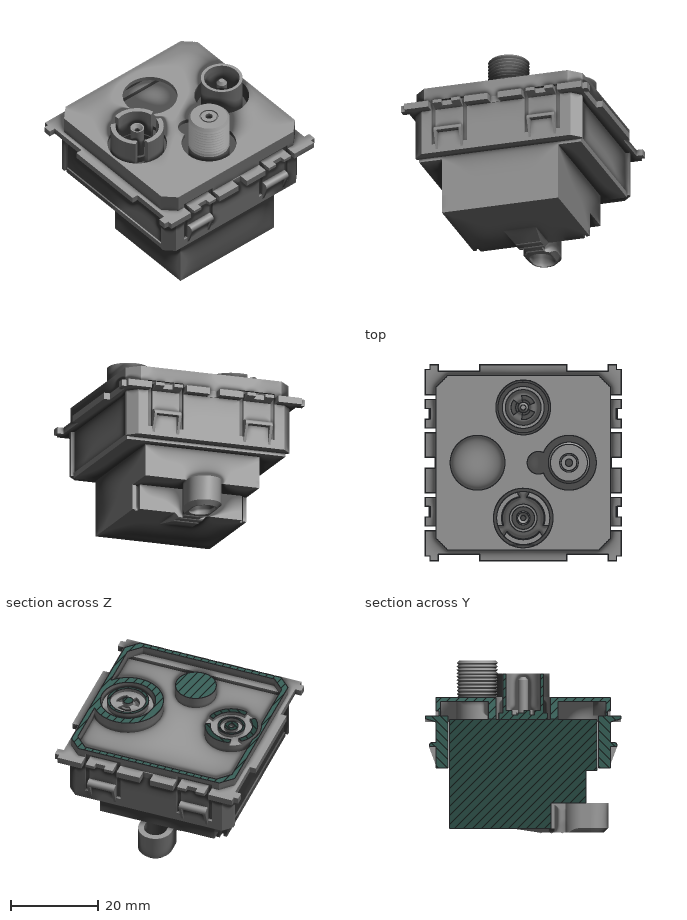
import cadquery as cq
import math

FLANGE_TOP = -4.2
FLANGE_BOTTOM = -5.7
FLOOR_TOP = -5.0
PANEL_BOTTOM = -15.6
FRAME_BOTTOM = -16.3
LIP_BOTTOM = -16.9
NOTCH_TOP = -24.35
BLOCK_BOTTOM = -30.2
CLAMP_BOTTOM = -31.1
COAX_TOP = 5.4
F_TOP = 8.34

COVER_WIDTH = 40.2
COVER_CHAMFER = 2.8
COVER_ROOF = 1.0
COVER_WALL = 1.2
CAVITY_WIDTH = COVER_WIDTH - 2 * COVER_WALL
PORT_RADIUS = 6.3
SOCKET_PORT_RADIUS = 6.85
SKIRT_RADIUS = 8.2
KEY_RADIUS = 2.6
KEY_X = 3.5
F_X = 10.5
BLANK_X = -10.5
PLUG_Y = 12.7
SOCKET_Y = -12.7

FLANGE_WIDTH = 45.05
FLANGE_END_STEP = 1.1
FLANGE_EDGE_Y = 21.05
CORNER_PIP_INNER_X = 19.5
CENTRE_TAB_HALF = 10.0
FRAME_CHAMFER = 2.1
BAY_HALF = 17.2
MIDDLE_GAP_HALF = 1.25
MIDDLE_GAP_X = 20.3
LATCH_Y = 11.25
LATCH_WIDTH = 6.6
SLIT_OUTER_WIDTH = 8.65
SLIT_DEPTH = 0.7
SLIT_TOP = -3.2
SLIT_BOTTOM = -14.2
TAB_TIP_BOTTOM = -4.95
TAB_NOTCH_WIDTH = 2.4
TAB_NOTCH_DEPTH = 1.2
LATCH_SHARP_REACH = 1.95
LATCH_NOSE_TOP = -10.3
LATCH_NOSE_BOTTOM = -11.4
LATCH_BOTTOM = -15.5
LATCH_RIB = 0.6
LATCH_NOSE_RADIUS = 0.9

HOUSING_HALF_X = 17.0
PANEL_HALF_Y = 19.2
LIP_HALF_Y = 19.55
BLOCK_LEFT = -14.5
BLOCK_HALF_Y = 14.05
NOTCH_WALL_X = -6.4
CORE_WALL_X = -7.2
CORE_HALF_Y = 12.6
CORE_GROOVE = 0.6
CORE_GROOVE_DEPTH = 0.8

CLAMP_RADIUS = 4.0
CLAMP_HOLE_RADIUS = 2.65
CLAMP_OUTER_X = -15.6
CLAMP_INNER_X = -13.2
CLAMP_CHAMFER = 1.0
STEM_HALF_Y = 2.1
WEDGE_FLAT_X = -3.5
WEDGE_TIP_X = 2.5
RIB_RADIUS = 0.45
RIB_DROP = 0.2
STEM_RIB_X = -9.0
TONGUE_RIB_XS = (-6.55, -4.1)

PLUG_BASE_RADIUS = 5.8
PLUG_BASE_TOP = -3.5
PLUG_RADIUS = 4.82
PLUG_BORE = 4.1
PLUG_FLOOR = -3.0
PIN_RADIUS = 1.2
PIN_TIP_RADIUS = 0.6
PIN_TIP_LENGTH = 0.7
PIN_TOP = 4.6
WINDOW_COUNT = 3
WINDOW_FIRST_ANGLE = 60
WINDOW_OUTER = 2.8
WINDOW_HALF_ANGLE = 38
WINDOW_DEPTH = 1.0
HUB_RADIUS = 1.75
HUB_DEPTH = 0.5

SOCKET_RADIUS = 6.1
SOCKET_BORE = 5.0
SOCKET_LOWER_BORE = 4.8
SOCKET_STEP = -1.5
SOCKET_FLOOR = -3.0
SLOT_COUNT = 3
SLOT_FIRST_ANGLE = 90
SLOT_INNER_HALF = 0.8
SLOT_OUTER_HALF = 1.5
COLLAR_RADIUS = 3.18
COLLAR_BORE = 2.6
COLLAR_TOP = -1.5
CONTACT_RADIUS = 1.6
CONTACT_BORE = 0.6
CONTACT_LEAD_IN = 0.7
CONTACT_TOP = 4.9

THREAD_RADIUS = 4.75
THREAD_ROOT = 4.3
THREAD_PITCH = 0.794
THREAD_TURNS = 10
TIP_CHAMFER = 0.5
GROOVE_OUTER = 2.15
GROOVE_INNER = 1.8
GROOVE_DEPTH = 0.4
F_BORE = 0.85
F_BORE_DEPTH = 6.0


def box(x0, x1, y0, y1, z0, z1):
    return cq.Workplane("XY").box(x1 - x0, y1 - y0, z1 - z0, centered=False).translate((x0, y0, z0))


def centred_box(half_x, half_y, z0, z1):
    return box(-half_x, half_x, -half_y, half_y, z0, z1)


def cylinder(radius, z0, z1, x=0.0, y=0.0):
    return cq.Workplane("XY", origin=(x, y, z0)).circle(radius).extrude(z1 - z0)


def wedge(half_angle, reach, z0, z1):
    """Triangular prism that opens from the Z axis along +X."""
    spread = reach * math.tan(math.radians(half_angle))
    outline = [(0, 0), (reach, -spread), (reach, spread)]
    return cq.Workplane("XY", origin=(0, 0, z0)).polyline(outline).close().extrude(z1 - z0)


def around_axis(shape, count, first_angle):
    """Evenly spaced copies around the Z axis."""
    for i in range(count):
        yield shape.rotate((0, 0, 0), (0, 0, 1), first_angle + i * 360 / count)


def on_latch_positions(shape):
    """Place a feature modelled at y = 0 on the -X side at the four latch positions."""
    for turn in (0, 180):
        for y in (-LATCH_Y, LATCH_Y):
            yield shape.translate((0, y, 0)).rotate((0, 0, 0), (0, 0, 1), turn)


def slit_pocket(z0, z1, y0, y1):
    """Shallow pocket in the -X wall that also clears the flange."""
    wall_x = -COVER_WIDTH / 2
    return box(-FLANGE_WIDTH / 2, wall_x + SLIT_DEPTH, y0, y1, z0, z1)


def make_cover():
    half = COVER_WIDTH / 2
    cover = centred_box(half, half, FLANGE_TOP, 0).edges("|Z").chamfer(COVER_CHAMFER)
    cavity = centred_box(CAVITY_WIDTH / 2, CAVITY_WIDTH / 2, FLANGE_TOP, -COVER_ROOF)
    cavity = cavity.edges("|Z").chamfer(COVER_CHAMFER)
    cover = cover.cut(cavity)
    skirt = cylinder(SKIRT_RADIUS, FLOOR_TOP, -COVER_ROOF, 0, PLUG_Y)
    skirt = skirt.intersect(centred_box(CAVITY_WIDTH / 2, CAVITY_WIDTH / 2, FLOOR_TOP, 0))
    cover = cover.union(skirt)
    ports = [
        (PORT_RADIUS, 0, PLUG_Y),
        (PORT_RADIUS, BLANK_X, 0),
        (PORT_RADIUS, F_X, 0),
        (KEY_RADIUS, KEY_X, 0),
        (SOCKET_PORT_RADIUS, 0, SOCKET_Y),
    ]
    for radius, x, y in ports:
        cover = cover.cut(cylinder(radius, FLOOR_TOP, 0, x, y))
    arch = slit_pocket(FLANGE_TOP, SLIT_TOP, -SLIT_OUTER_WIDTH / 2, SLIT_OUTER_WIDTH / 2)
    for recess in on_latch_positions(arch):
        cover = cover.cut(recess)
    return cover


def make_flange():
    outer = FLANGE_WIDTH / 2
    shoulder = outer - FLANGE_END_STEP
    flange = centred_box(outer, shoulder, FLANGE_BOTTOM, FLANGE_TOP)
    for side in (-1, 1):
        for x0, x1 in ((-CORNER_PIP_INNER_X, -CENTRE_TAB_HALF), (CENTRE_TAB_HALF, CORNER_PIP_INNER_X)):
            y0, y1 = sorted((side * FLANGE_EDGE_Y, side * outer))
            flange = flange.cut(box(x0, x1, y0, y1, FLANGE_BOTTOM, FLANGE_TOP))
        for x0, x1 in (
            (-shoulder, -CORNER_PIP_INNER_X),
            (-CENTRE_TAB_HALF, CENTRE_TAB_HALF),
            (CORNER_PIP_INNER_X, shoulder),
        ):
            y0, y1 = sorted((side * shoulder, side * outer))
            flange = flange.union(box(x0, x1, y0, y1, FLANGE_BOTTOM, FLANGE_TOP))
        x0, x1 = sorted((side * MIDDLE_GAP_X, side * outer))
        flange = flange.cut(box(x0, x1, -MIDDLE_GAP_HALF, MIDDLE_GAP_HALF, FLANGE_BOTTOM, FLANGE_TOP))
    return flange


def make_latch():
    """Snap nose with two tapering side ribs."""
    wall = -COVER_WIDTH / 2
    sharp_tip = wall - LATCH_SHARP_REACH
    latch = (
        cq.Workplane("XZ")
        .polyline([(wall, LATCH_NOSE_TOP), (sharp_tip, LATCH_NOSE_TOP), (wall, LATCH_BOTTOM)])
        .close()
        .extrude(LATCH_WIDTH / 2, both=True)
    )
    latch = latch.edges("|Y and <X").fillet(LATCH_NOSE_RADIUS)
    rib_inner = LATCH_WIDTH / 2 - LATCH_RIB
    return latch.cut(box(sharp_tip, wall, -rib_inner, rib_inner, LATCH_BOTTOM, LATCH_NOSE_BOTTOM))


def make_tab_relief():
    """Sloped underside and end notch of the flange tab above a latch."""
    tip = -FLANGE_WIDTH / 2
    wall = -COVER_WIDTH / 2
    slope = (
        cq.Workplane("XZ")
        .polyline([(tip, FLANGE_BOTTOM), (tip, TAB_TIP_BOTTOM), (wall, FLANGE_BOTTOM)])
        .close()
        .extrude(LATCH_WIDTH / 2, both=True)
    )
    half = TAB_NOTCH_WIDTH / 2
    return slope.union(box(tip, tip + TAB_NOTCH_DEPTH, -half, half, FLANGE_BOTTOM, FLANGE_TOP))


def make_frame():
    half = COVER_WIDTH / 2
    frame = centred_box(half, half, FRAME_BOTTOM, FLANGE_TOP).edges("|Z").chamfer(FRAME_CHAMFER)
    frame = frame.union(make_flange())
    frame = frame.cut(centred_box(BAY_HALF, half, FRAME_BOTTOM, FLANGE_BOTTOM))
    frame = frame.cut(centred_box(BAY_HALF, CAVITY_WIDTH / 2, FLANGE_BOTTOM, FLANGE_TOP))
    inner = LATCH_WIDTH / 2
    outer = SLIT_OUTER_WIDTH / 2
    for y0, y1 in ((-outer, -inner), (inner, outer)):
        for slit in on_latch_positions(slit_pocket(SLIT_BOTTOM, FLANGE_TOP, y0, y1)):
            frame = frame.cut(slit)
    for relief in on_latch_positions(make_tab_relief()):
        frame = frame.cut(relief)
    for latch in on_latch_positions(make_latch()):
        frame = frame.union(latch)
    return frame


def make_housing():
    housing = centred_box(HOUSING_HALF_X, PANEL_HALF_Y, LIP_BOTTOM, FLANGE_BOTTOM)
    housing = housing.union(centred_box(HOUSING_HALF_X, CAVITY_WIDTH / 2, FLANGE_BOTTOM, FLOOR_TOP))
    housing = housing.union(centred_box(HOUSING_HALF_X, LIP_HALF_Y, LIP_BOTTOM, PANEL_BOTTOM))
    housing = housing.union(
        box(BLOCK_LEFT, HOUSING_HALF_X, -BLOCK_HALF_Y, BLOCK_HALF_Y, BLOCK_BOTTOM, LIP_BOTTOM)
    )
    housing = housing.cut(
        box(BLOCK_LEFT, NOTCH_WALL_X, -BLOCK_HALF_Y, BLOCK_HALF_Y, BLOCK_BOTTOM, NOTCH_TOP)
    )
    core = box(CORE_WALL_X, NOTCH_WALL_X, -CORE_HALF_Y, CORE_HALF_Y, BLOCK_BOTTOM, NOTCH_TOP)
    housing = housing.union(core)
    groove_back = NOTCH_WALL_X + CORE_GROOVE_DEPTH
    for y in (-CORE_HALF_Y - CORE_GROOVE, CORE_HALF_Y):
        housing = housing.cut(box(NOTCH_WALL_X, groove_back, y, y + CORE_GROOVE, BLOCK_BOTTOM, NOTCH_TOP))
    return housing


def make_clamp():
    length = CLAMP_INNER_X - CLAMP_OUTER_X
    middle = (CLAMP_INNER_X + CLAMP_OUTER_X) / 2
    base = cq.Workplane("XY", origin=(middle, 0, CLAMP_BOTTOM))
    height = NOTCH_TOP - CLAMP_BOTTOM
    bar = cylinder(CLAMP_RADIUS, CLAMP_BOTTOM, NOTCH_TOP, CLAMP_OUTER_X)
    straight = box(CLAMP_OUTER_X, WEDGE_TIP_X, -CLAMP_RADIUS, CLAMP_RADIUS, CLAMP_BOTTOM, NOTCH_TOP)
    bar = bar.union(straight)
    bar = bar.faces("<Z").edges("not >X").chamfer(CLAMP_CHAMFER)
    head = bar.intersect(base.slot2D(length + 2 * CLAMP_RADIUS, 2 * CLAMP_RADIUS).extrude(height))
    stem = box(middle, CORE_WALL_X, -STEM_HALF_Y, STEM_HALF_Y, CLAMP_BOTTOM, NOTCH_TOP)
    tongue = (
        cq.Workplane("XZ")
        .moveTo(CORE_WALL_X, BLOCK_BOTTOM)
        .lineTo(WEDGE_TIP_X, BLOCK_BOTTOM)
        .lineTo(WEDGE_FLAT_X, CLAMP_BOTTOM)
        .lineTo(CORE_WALL_X, CLAMP_BOTTOM)
        .close()
        .extrude(CLAMP_RADIUS, both=True)
        .intersect(bar)
    )
    clamp = head.union(stem).union(tongue)
    tongue_half_y = CLAMP_RADIUS - CLAMP_CHAMFER
    ribs = [(STEM_RIB_X, STEM_HALF_Y)] + [(x, tongue_half_y) for x in TONGUE_RIB_XS]
    for x, half_y in ribs:
        rib = cq.Workplane("XZ", origin=(x, 0, CLAMP_BOTTOM + RIB_RADIUS - RIB_DROP))
        rib = rib.circle(RIB_RADIUS).extrude(half_y, both=True)
        clamp = clamp.union(rib)
    hole = base.slot2D(length + 2 * CLAMP_HOLE_RADIUS, 2 * CLAMP_HOLE_RADIUS).extrude(height)
    return clamp.cut(hole)


def make_plug():
    plug = cylinder(PLUG_BASE_RADIUS, FLOOR_TOP, PLUG_BASE_TOP)
    plug = plug.union(cylinder(PLUG_RADIUS, FLOOR_TOP, COAX_TOP))
    plug = plug.cut(cylinder(PLUG_BORE, PLUG_FLOOR, COAX_TOP))
    window = wedge(WINDOW_HALF_ANGLE, PLUG_BORE, PLUG_FLOOR - WINDOW_DEPTH, PLUG_FLOOR)
    window = window.intersect(cylinder(WINDOW_OUTER, FLOOR_TOP, PLUG_FLOOR))
    for opening in around_axis(window, WINDOW_COUNT, WINDOW_FIRST_ANGLE):
        plug = plug.cut(opening)
    plug = plug.union(cylinder(HUB_RADIUS, FLOOR_TOP, PLUG_FLOOR - HUB_DEPTH))
    pin = cylinder(PIN_RADIUS, FLOOR_TOP, PIN_TOP)
    pin = pin.faces(">Z").chamfer(PIN_TIP_LENGTH, PIN_RADIUS - PIN_TIP_RADIUS)
    return plug.union(pin).translate((0, PLUG_Y, 0))


def make_socket():
    socket = cylinder(SOCKET_RADIUS, FLOOR_TOP, COAX_TOP)
    socket = socket.cut(cylinder(SOCKET_BORE, SOCKET_STEP, COAX_TOP))
    socket = socket.cut(cylinder(SOCKET_LOWER_BORE, SOCKET_FLOOR, SOCKET_STEP))
    slot = (
        cq.Workplane("XY", origin=(0, 0, SOCKET_FLOOR))
        .moveTo(0, -SLOT_INNER_HALF)
        .lineTo(SOCKET_LOWER_BORE, -SLOT_INNER_HALF)
        .lineTo(SOCKET_RADIUS, -SLOT_OUTER_HALF)
        .lineTo(SOCKET_RADIUS, SLOT_OUTER_HALF)
        .lineTo(SOCKET_LOWER_BORE, SLOT_INNER_HALF)
        .lineTo(0, SLOT_INNER_HALF)
        .close()
        .extrude(COAX_TOP - SOCKET_FLOOR)
    )
    for opening in around_axis(slot, SLOT_COUNT, SLOT_FIRST_ANGLE):
        socket = socket.cut(opening)
    collar = cylinder(COLLAR_RADIUS, FLOOR_TOP, COLLAR_TOP)
    collar = collar.cut(cylinder(COLLAR_BORE, SOCKET_FLOOR, COLLAR_TOP))
    contact = cylinder(CONTACT_RADIUS, FLOOR_TOP, CONTACT_TOP)
    contact = contact.cut(cylinder(CONTACT_BORE, SOCKET_FLOOR, CONTACT_TOP))
    contact = contact.faces(">Z").edges(cq.selectors.RadiusNthSelector(0))
    contact = contact.chamfer(CONTACT_LEAD_IN)
    return socket.union(collar).union(contact).translate((0, SOCKET_Y, 0))


def make_f_connector():
    """Threaded barrel; the thread is modelled as V-shaped rings at its pitch."""
    thread_start = F_TOP - TIP_CHAMFER - THREAD_TURNS * THREAD_PITCH
    outline = cq.Workplane("XZ").moveTo(0, FLOOR_TOP).lineTo(THREAD_RADIUS, FLOOR_TOP)
    for i in range(THREAD_TURNS):
        z = thread_start + i * THREAD_PITCH
        outline = outline.lineTo(THREAD_RADIUS, z).lineTo(THREAD_ROOT, z + THREAD_PITCH / 2)
    outline = outline.lineTo(THREAD_RADIUS, F_TOP - TIP_CHAMFER)
    outline = outline.lineTo(THREAD_RADIUS - TIP_CHAMFER, F_TOP).lineTo(0, F_TOP).close()
    barrel = outline.revolve(360, (0, 0, 0), (0, 1, 0))
    groove = cylinder(GROOVE_OUTER, F_TOP - GROOVE_DEPTH, F_TOP)
    groove = groove.cut(cylinder(GROOVE_INNER, F_TOP - GROOVE_DEPTH, F_TOP))
    barrel = barrel.cut(groove)
    barrel = barrel.cut(cylinder(F_BORE, F_TOP - F_BORE_DEPTH, F_TOP))
    return barrel.translate((F_X, 0, 0))


cover = make_cover()
frame = make_frame()
housing = make_housing()
clamp = make_clamp()
plug = make_plug()
socket = make_socket()
f_connector = make_f_connector()

bodies = [cover, frame, housing, clamp, plug, socket, f_connector]
result = cq.Compound.makeCompound([body.solids().val() for body in bodies])